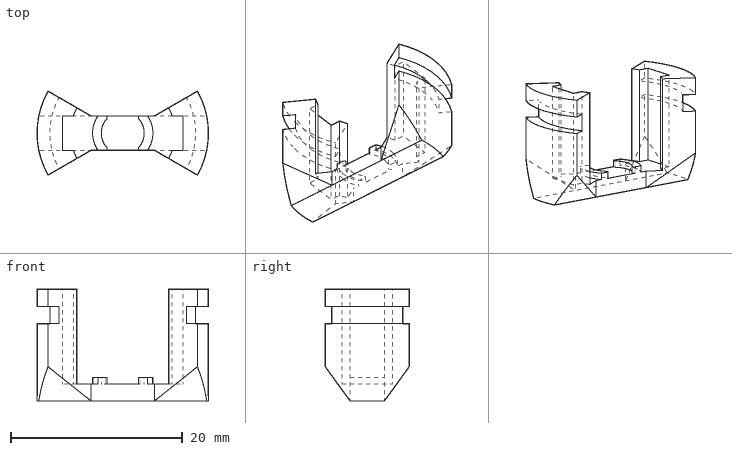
import cadquery as cq
import math

outer_radius = 10.0
height = 13.05
base_thickness = 2.0
base_half_width = 2.0

waist_half_length = 3.68
flank_angle = math.radians(30)

wall_inner_radius = 6.1
pocket_half_length = 7.02

groove_radius = 8.5
groove_bottom = 9.02
groove_top = 11.02
groove_overcut = 0.2

bevel_height = 4.0

rib_inner_radius = 2.5
rib_outer_radius = 3.52
rib_height = 0.75
rib_fillet = 0.2

flank_offset = base_half_width * math.cos(flank_angle) - waist_half_length * math.sin(flank_angle)
corner_angle = flank_angle + math.asin(flank_offset / outer_radius)
corner_x = outer_radius * math.cos(corner_angle)
corner_y = outer_radius * math.sin(corner_angle)


def disc(radius, bottom, top):
    return cq.Workplane("XY").workplane(offset=bottom).circle(radius).extrude(top - bottom)


def bow_tie():
    return (
        cq.Workplane("XY")
        .moveTo(-waist_half_length, base_half_width)
        .lineTo(waist_half_length, base_half_width)
        .lineTo(corner_x, corner_y)
        .threePointArc((outer_radius, 0), (corner_x, -corner_y))
        .lineTo(waist_half_length, -base_half_width)
        .lineTo(-waist_half_length, -base_half_width)
        .lineTo(-corner_x, -corner_y)
        .threePointArc((-outer_radius, 0), (-corner_x, corner_y))
        .close()
        .extrude(height)
    )


def opening():
    pocket = (
        cq.Workplane("XY")
        .workplane(offset=base_thickness)
        .rect(2 * pocket_half_length, 2 * base_half_width)
        .extrude(height - base_thickness)
    )
    return disc(wall_inner_radius, base_thickness, height).union(pocket)


def groove():
    return disc(outer_radius + groove_overcut, groove_bottom, groove_top).cut(
        disc(groove_radius, groove_bottom, groove_top)
    )


def bevel(side):
    """Wedge below the sloping face on the +Y (side=1) or -Y (side=-1) flanks."""
    return (
        cq.Workplane("YZ")
        .moveTo(side * base_half_width, 0)
        .lineTo(side * corner_y, bevel_height)
        .lineTo(side * corner_y, 0)
        .close()
        .extrude(outer_radius, both=True)
    )


def ribs():
    """Two arc-shaped ribs, with the sharp ends of their inner faces rounded."""
    rib_top = base_thickness + rib_height
    base_strip = cq.Workplane("XY").box(2 * outer_radius, 2 * base_half_width, 2 * height)
    ring = disc(rib_outer_radius, base_thickness, rib_top).cut(
        disc(rib_inner_radius, base_thickness, rib_top)
    )
    inner_end_x = math.sqrt(rib_inner_radius**2 - base_half_width**2)
    inner_ends = cq.selectors.BoxSelector(
        (-inner_end_x - rib_fillet, -outer_radius, 0),
        (inner_end_x + rib_fillet, outer_radius, height),
    )
    return ring.intersect(base_strip).edges("|Z").edges(inner_ends).fillet(rib_fillet)


body = bow_tie().cut(opening()).cut(groove())
for side in (-1, 1):
    body = body.cut(bevel(side))

result = body.union(ribs())